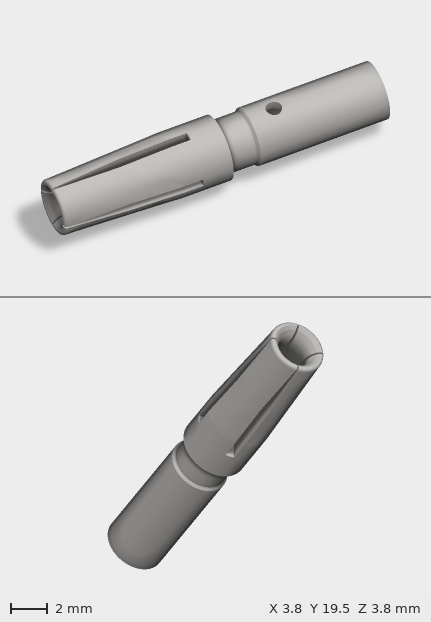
import cadquery as cq
import math

length = 19.5

collar_radius = 3.8 / 2
barrel_radius = 3.37 / 2
neck_radius = 1.55
mouth_radius = 1.6
cone_start = 7.02
collar_end = 10.0
neck_end = 11.62
barrel_chamfer = barrel_radius - neck_radius
mouth_rounding = 0.18

bore_mouth_radius = 1.35
bore_throat_radius = 1.17
bore_inner_radius = 0.9
lead_in_depth = 0.15
funnel_end = 0.94
bore_depth = 8.19
drill_tip_depth = 0.53

slot_width = 0.53
slot_mouth_width = 0.1
slot_end = 8.19
slot_taper_start = 3.9

wire_bore_radius = 1.17
wire_bore_end = 12.28
inspection_diameter = 0.92
inspection_position = 13.3

cut_margin = 0.2


def turned(points):
    """Revolve a (radius, Y) outline about the Y axis."""
    outline = cq.Workplane("XY").polyline(points).close()
    return outline.revolve(360, (0, 0, 0), (0, 1, 0))


def outer_body():
    body = turned([
        (0, 0),
        (mouth_radius, 0),
        (collar_radius, cone_start),
        (collar_radius, collar_end),
        (neck_radius, collar_end),
        (neck_radius, neck_end),
        (barrel_radius, neck_end + barrel_chamfer),
        (barrel_radius, length),
        (0, length),
    ])
    return body.faces("<Y").edges().fillet(mouth_rounding)


def socket_bore():
    """Bore with a conical lead-in and a rounded funnel tangent to its straight wall."""
    funnel_step = bore_throat_radius - bore_inner_radius
    funnel_length = funnel_end - lead_in_depth
    funnel_radius = (funnel_step**2 + funnel_length**2) / (2 * funnel_step)
    half_angle = math.asin(funnel_length / funnel_radius) / 2
    funnel_middle = (
        bore_inner_radius + funnel_radius * (1 - math.cos(half_angle)),
        funnel_end - funnel_radius * math.sin(half_angle),
    )
    outline = (
        cq.Workplane("XY")
        .lineTo(bore_mouth_radius, 0)
        .lineTo(bore_throat_radius, lead_in_depth)
        .threePointArc(funnel_middle, (bore_inner_radius, funnel_end))
        .lineTo(bore_inner_radius, bore_depth)
        .lineTo(0, bore_depth + drill_tip_depth)
        .close()
    )
    return outline.revolve(360, (0, 0, 0), (0, 1, 0))


def finger_slot():
    """Slot cutter that passes vertically through both walls."""
    half_width = slot_width / 2
    half_mouth = slot_mouth_width / 2
    outline = cq.Workplane("XY").polyline([
        (-half_mouth, 0),
        (half_mouth, 0),
        (half_width, slot_taper_start),
        (half_width, slot_end),
        (-half_width, slot_end),
        (-half_width, slot_taper_start),
    ]).close()
    return outline.extrude(collar_radius + cut_margin, both=True)


def wire_bore():
    return turned([
        (0, wire_bore_end),
        (wire_bore_radius, wire_bore_end),
        (wire_bore_radius, length),
        (0, length),
    ])


def inspection_hole():
    """Hole through the upper barrel wall into the wire bore."""
    plane = cq.Workplane("XY").center(0, inspection_position)
    return plane.circle(inspection_diameter / 2).extrude(barrel_radius + cut_margin)


result = outer_body().cut(socket_bore())
for angle in (0, 90):
    result = result.cut(finger_slot().rotate((0, 0, 0), (0, 1, 0), angle))
result = result.cut(wire_bore()).cut(inspection_hole())